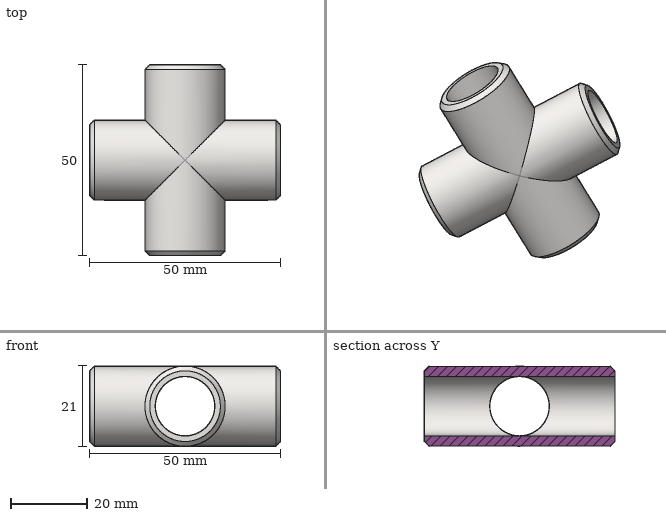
import cadquery as cq

length = 50.0
outer_diameter = 21.0
bore_diameter = 15.5
end_chamfer = 1.25


def centred_cylinder(plane, diameter):
    """Cylinder through the origin along the normal of the given plane."""
    return cq.Workplane(plane).circle(diameter / 2).extrude(length / 2, both=True)


def pipe_body(plane):
    """Solid arm pair with both outer end edges chamfered."""
    return centred_cylinder(plane, outer_diameter).faces("%PLANE").edges("%CIRCLE").chamfer(end_chamfer)


result = pipe_body("YZ").union(pipe_body("XZ"))
for bore_plane in ("YZ", "XZ"):
    result = result.cut(centred_cylinder(bore_plane, bore_diameter))